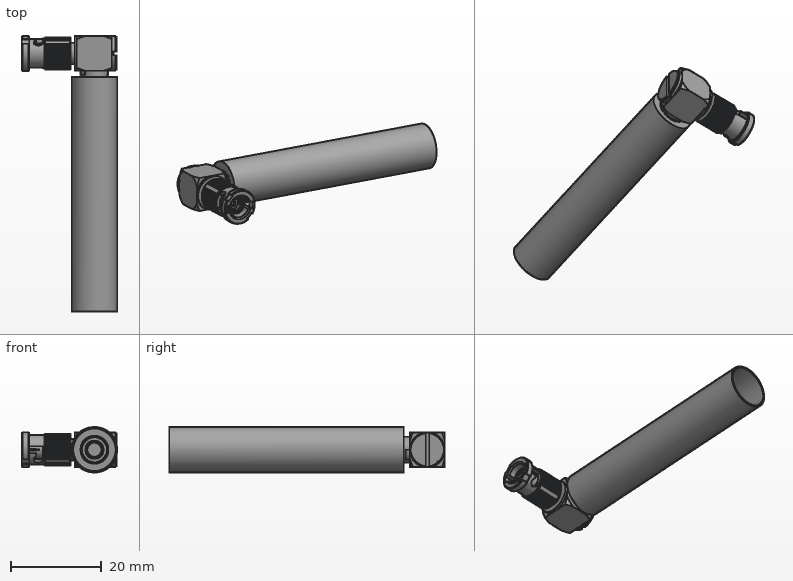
import cadquery as cq
import math


SLEEVE_RADIUS = 5.05
PLUG_LENGTH = 21.11
MOUTH_X = SLEEVE_RADIUS - PLUG_LENGTH
FLANGE_WIDTH = 1.64
BARREL_END_X = -11.1
GRIP_START_X = -10.9
GRIP_END_X = -5.19
STEM_OVERLAP = 0.5

FLANGE_RADIUS = 3.9
FLANGE_CHAMFER = 0.18
BARREL_RADIUS = 3.3
BARREL_LIP_RADIUS = 3.4
SHELL_BORE_RADIUS = 2.4
MOUTH_RADIUS = 2.75
STEM_RADIUS = 2.4

GRIP_RADIUS = 3.58
GRIP_END_FILLET = 0.35
KNURL_COUNT = 42
KNURL_WIDTH = 0.44
KNURL_END_X = -5.55

INDEX_ANGLES = (45, 225)
NOTCH_DISTANCE = 3.42
GRIP_FLAT_DISTANCE = 3.54
NOTCH_WIDTH = 1.56

SLOT_ENTRY_ANGLES = (0, 180)
KEYWAY_WIDTH = 1.65
KEYWAY_RADIUS = BARREL_RADIUS
KEYWAY_END_X = -11.4
DETENT_X = -12.4
DETENT_RADIUS = 0.95
DETENT_ANGLE = 42
TRACK_START_X = -12.85

CONTACT_START_X = MOUTH_X + FLANGE_WIDTH
CONTACT_OUTER_RADIUS = 2.0
CONTACT_INNER_RADIUS = 1.3
CONTACT_LIP_CHAMFER = 0.3
FINGER_SLOT_WIDTH = 0.3
FINGER_SLOT_END_X = -12.2
FINGER_SLOT_COUNT = 4
INSULATOR_START_X = -13.0
PIN_CAVITY_RADIUS = 0.73
PIN_RADIUS = 0.45
PIN_START_X = -12.7

BLOCK_SIZE = 7.7
BLOCK_HALF = BLOCK_SIZE / 2
BLOCK_CHAMFER_START_RADIUS = 4.3
BLOCK_CHAMFER_ANGLE = 30
INNER_COLLAR_X = -4.4
OUTER_COLLAR_X = 4.55
CAP_X = 4.96
CAP_RADIUS = 3.65
CAP_SLOT_WIDTH = 0.75
CAP_SLOT_DEPTH = 0.7

TOTAL_Y = 60.94
SLEEVE_START_Y = -5.15
SLEEVE_END_Y = FLANGE_RADIUS - TOTAL_Y
SLEEVE_WALL = 0.37
FLOOR_Y = SLEEVE_START_Y - SLEEVE_WALL
NECK_RADIUS = 2.9
NECK_PAD_RADIUS = 3.1
NECK_PAD_END_Y = -4.75
NECK_PAD_SWEEP = 45
NECK_PAD_ANGLES = (135, 315)

FLOOR_STEPS = ((3.1, 0.12), (2.75, 0.24))
CABLE_RADIUS = 1.55
GROOVE_MOUTH_RADIUS = 2.12
GROOVE_FLOOR_RADIUS = 1.8
GROOVE_DEPTH = 0.8


def rod_x(radius, start, end):
    return cq.Workplane("YZ", origin=(start, 0, 0)).circle(radius).extrude(end - start)


def rod_y(radius, start, end):
    """Cylinder about the Y axis from y = start towards -Y, down to y = end."""
    return cq.Workplane("XZ", origin=(0, start, 0)).circle(radius).extrude(start - end)


def turn_x(shape, angle):
    return shape.rotate((0, 0, 0), (1, 0, 0), angle)


def box_between(x, y, z):
    size = [high - low for low, high in (x, y, z)]
    return cq.Workplane("XY").box(*size, centered=False).translate((x[0], y[0], z[0]))


def index_blocks(start, end, distance, width):
    """Blocks on both index sides, reaching outward from the given distance off the plug axis."""
    block = box_between((start, end), (distance, 2 * FLANGE_RADIUS), (-width / 2, width / 2))
    first, second = INDEX_ANGLES
    return turn_x(block, first).union(turn_x(block, second))


def make_flange():
    end = MOUTH_X + FLANGE_WIDTH
    flange = rod_x(FLANGE_RADIUS, MOUTH_X, end).edges().chamfer(FLANGE_CHAMFER)
    return flange.cut(index_blocks(MOUTH_X, end, NOTCH_DISTANCE, NOTCH_WIDTH))


def slot_cutter():
    """Axial keyway at +Y, then a track around the barrel to a round detent."""
    half_width = KEYWAY_WIDTH / 2
    inner = CONTACT_OUTER_RADIUS
    keyway = box_between((MOUTH_X, KEYWAY_END_X), (inner, KEYWAY_RADIUS), (-half_width, half_width))
    keyway = keyway.intersect(rod_x(KEYWAY_RADIUS, MOUTH_X, KEYWAY_END_X))

    track = (
        cq.Workplane("XY")
        .moveTo(TRACK_START_X, inner)
        .rect(KEYWAY_END_X - TRACK_START_X, KEYWAY_RADIUS - inner, centered=False)
        .revolve(DETENT_ANGLE, (0, 0, 0), (1, 0, 0))
    )
    detent = (
        cq.Workplane("XZ", origin=(DETENT_X, inner, 0))
        .circle(DETENT_RADIUS)
        .extrude(inner - FLANGE_RADIUS)
    )
    return keyway.union(track).union(turn_x(detent, DETENT_ANGLE))


def make_shell():
    shell = make_flange().union(rod_x(BARREL_RADIUS, MOUTH_X + FLANGE_WIDTH, BARREL_END_X))
    shell = shell.cut(rod_x(SHELL_BORE_RADIUS, MOUTH_X, BARREL_END_X))
    mouth_edge = shell.faces("<X").edges(cq.selectors.RadiusNthSelector(0))
    shell = mouth_edge.chamfer(MOUTH_RADIUS - SHELL_BORE_RADIUS)
    cutter = slot_cutter()
    for angle in SLOT_ENTRY_ANGLES:
        shell = shell.cut(turn_x(cutter, angle))
    return shell


def make_grip():
    grip = rod_x(GRIP_RADIUS, GRIP_START_X, GRIP_END_X).faces(">X").edges().fillet(GRIP_END_FILLET)
    grooves = (
        cq.Workplane("YZ", origin=(GRIP_START_X, 0, 0))
        .polarArray(GRIP_RADIUS, 0, 360, KNURL_COUNT)
        .polygon(4, KNURL_WIDTH)
        .extrude(KNURL_END_X - GRIP_START_X)
    )
    flat_width = 2 * math.sqrt(GRIP_RADIUS**2 - GRIP_FLAT_DISTANCE**2)
    grooves = grooves.cut(index_blocks(GRIP_START_X, GRIP_END_X, 0, flat_width))
    flats = index_blocks(GRIP_START_X, GRIP_END_X, GRIP_FLAT_DISTANCE, flat_width)
    grip = grip.cut(grooves).cut(flats)
    return grip.union(rod_x(BARREL_LIP_RADIUS, BARREL_END_X, GRIP_START_X))


def make_contacts():
    contact = rod_x(CONTACT_OUTER_RADIUS, CONTACT_START_X, GRIP_START_X)
    contact = contact.cut(rod_x(CONTACT_INNER_RADIUS, CONTACT_START_X, GRIP_START_X))
    contact = contact.faces("<X").edges(cq.selectors.RadiusNthSelector(0))
    contact = contact.chamfer(CONTACT_LIP_CHAMFER)
    half_slot = FINGER_SLOT_WIDTH / 2
    finger_slot = box_between(
        (CONTACT_START_X, FINGER_SLOT_END_X), (0, CONTACT_OUTER_RADIUS), (-half_slot, half_slot)
    )
    for index in range(FINGER_SLOT_COUNT):
        contact = contact.cut(turn_x(finger_slot, index * 360 / FINGER_SLOT_COUNT))
    insulator = rod_x(CONTACT_INNER_RADIUS, INSULATOR_START_X, GRIP_START_X)
    insulator = insulator.cut(rod_x(PIN_CAVITY_RADIUS, INSULATOR_START_X, BARREL_END_X))
    pin = rod_x(PIN_RADIUS, PIN_START_X, GRIP_START_X)
    return contact.union(insulator).union(pin)


def make_block():
    """Square block with conical end chamfers about Y, round collars and a slotted cap about X."""
    block = cq.Workplane("XY").box(BLOCK_SIZE, BLOCK_SIZE, BLOCK_SIZE)
    corner_radius = math.hypot(BLOCK_HALF, BLOCK_HALF)
    chamfer_slope = math.tan(math.radians(BLOCK_CHAMFER_ANGLE))
    chamfer_drop = (corner_radius - BLOCK_CHAMFER_START_RADIUS) * chamfer_slope
    turned_profile = [
        (0, BLOCK_HALF),
        (BLOCK_CHAMFER_START_RADIUS, BLOCK_HALF),
        (corner_radius, BLOCK_HALF - chamfer_drop),
        (corner_radius, chamfer_drop - BLOCK_HALF),
        (BLOCK_CHAMFER_START_RADIUS, -BLOCK_HALF),
        (0, -BLOCK_HALF),
    ]
    turned = cq.Workplane("XY").polyline(turned_profile).close().revolve(360, (0, 0, 0), (0, 1, 0))
    block = block.intersect(turned)
    block = block.union(rod_x(BLOCK_HALF, INNER_COLLAR_X, OUTER_COLLAR_X))
    block = block.union(rod_x(CAP_RADIUS, OUTER_COLLAR_X, CAP_X))
    half_slot = CAP_SLOT_WIDTH / 2
    cap_slot = box_between(
        (CAP_X - CAP_SLOT_DEPTH, CAP_X), (-half_slot, half_slot), (-BLOCK_HALF, BLOCK_HALF)
    )
    return block.cut(cap_slot)


def make_neck():
    neck = rod_y(NECK_RADIUS, 0, FLOOR_Y + FLOOR_STEPS[-1][1])
    for angle in NECK_PAD_ANGLES:
        pad = (
            cq.Workplane("XY")
            .moveTo(0, NECK_PAD_END_Y)
            .rect(NECK_PAD_RADIUS, -NECK_PAD_END_Y, centered=False)
            .revolve(NECK_PAD_SWEEP, (0, 0, 0), (0, -1, 0))
            .rotate((0, 0, 0), (0, -1, 0), angle)
        )
        neck = neck.union(pad)
    return neck


def make_sleeve():
    """Tube with a floor next to the neck; the floor has a stepped recess."""
    sleeve = rod_y(SLEEVE_RADIUS, SLEEVE_START_Y, SLEEVE_END_Y)
    sleeve = sleeve.cut(rod_y(SLEEVE_RADIUS - SLEEVE_WALL, FLOOR_Y, SLEEVE_END_Y))
    for radius, depth in FLOOR_STEPS:
        sleeve = sleeve.cut(rod_y(radius, FLOOR_Y + depth, FLOOR_Y))
    return sleeve


def cable_groove():
    """Ring cut around the cable core, tapering inwards with depth."""
    profile = [
        (CABLE_RADIUS, FLOOR_Y),
        (GROOVE_MOUTH_RADIUS, FLOOR_Y),
        (GROOVE_FLOOR_RADIUS, FLOOR_Y + GROOVE_DEPTH),
        (CABLE_RADIUS, FLOOR_Y + GROOVE_DEPTH),
    ]
    return cq.Workplane("XY").polyline(profile).close().revolve(360, (0, 0, 0), (0, 1, 0))


stem = rod_x(STEM_RADIUS, GRIP_END_X - STEM_OVERLAP, INNER_COLLAR_X + STEM_OVERLAP)
plug = make_shell().union(make_grip()).union(make_contacts()).union(stem)
cable_side = make_block().union(make_neck()).union(make_sleeve()).cut(cable_groove())

result = plug.union(cable_side)